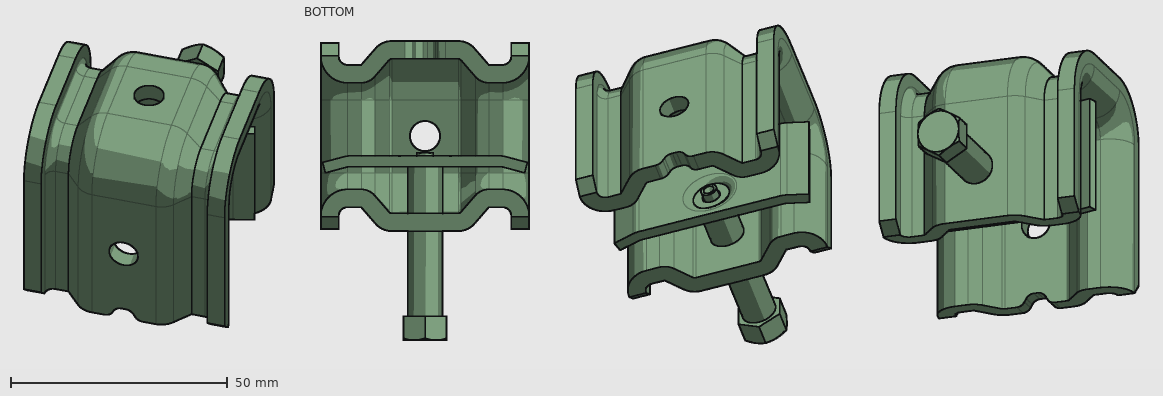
import cadquery as cq
import math

SHEET = 4.15
CLAMP_WIDTH = 48.0
CLAMP_DEPTH = 43.9
CLAMP_HEIGHT = 50.0
SHORT_LEG_FOOT = 7.05
CORNER_RADIUS = 13.5

CREST_HALF_WIDTH = 7.65
CREST_BEND_RADIUS = 5.0
SLOPE_ANGLE = 49.0
VALLEY_DEPTH = 5.5
FLANGE_BEND_RADIUS = 2.0
FLANGE_DEPTH = 0.5

FLANGE_INSIDE_X = CLAMP_WIDTH / 2 - SHEET
VALLEY_HALF_WIDTH = FLANGE_INSIDE_X - FLANGE_BEND_RADIUS

HOLE_DIAMETER = 6.9
FLANGE_FOOT_CHAMFER = 2.9
NOTCH_HEIGHT = 2.9
NOTCH_RADIUS = 2.15
NOTCH_TOP_HALF_FLAT = 0.5
NOTCH_FLANK_ANGLE = 60.0

BOLT_HEIGHT = 19.95
SHANK_DIAMETER = 8.1
HEAD_ACROSS_FLATS = 10.0
HEAD_LENGTH = 5.5
HALF_HEX_STEP = 30.0
HEAD_END = 69.0
HEAD_CHAMFER_ANGLE = 30.0
TIP_DIAMETER = 3.7
TIP_END = 25.8
TIP_BORE_DIAMETER = 2.5
TIP_BORE_HALF_ANGLE = 59.0

PLATE_SHEET = 2.5
PLATE_FRONT = 26.5
PLATE_BOTTOM = 11.95
PLATE_HEIGHT = 26.6
PLATE_FLAT_HALF_WIDTH = 17.1
PLATE_BEND_RADIUS = 6.0
PLATE_BEND_ANGLE = 15.0
WING_LENGTH = 5.1
PLATE_HOLE_DIAMETER = 4.3
DISH_MOUTH_DIAMETER = 13.05
DISH_LIP_RADIUS = 2.5
DISH_LIP_ANGLE = 60.0

PLATE_BACK = PLATE_FRONT + PLATE_SHEET
BOLT_ORIGIN = (0, 0, BOLT_HEIGHT)


def along_bend(start, radius, angle):
    """Point reached from start, heading +X, after turning towards +Y by angle (degrees)."""
    turn = math.radians(angle)
    return (start[0] + radius * math.sin(turn), start[1] + radius * (1 - math.cos(turn)))


def inward(point, angle, thickness):
    """Point across the sheet from point, where the sheet has turned by angle."""
    turn = math.radians(angle)
    return (point[0] - thickness * math.sin(turn), point[1] + thickness * math.cos(turn))


def half_sheet_section():
    """Section of the right half of the long leg: X across, Y from the crest inwards."""
    crest_end = (CREST_HALF_WIDTH, 0)
    crest_mid_bend = along_bend(crest_end, CREST_BEND_RADIUS, SLOPE_ANGLE / 2)
    slope_top = along_bend(crest_end, CREST_BEND_RADIUS, SLOPE_ANGLE)
    slope_run = (VALLEY_DEPTH - slope_top[1]) / math.tan(math.radians(SLOPE_ANGLE))
    slope_foot = (slope_top[0] + slope_run, VALLEY_DEPTH)

    flange_outside_x = CLAMP_WIDTH / 2
    flange_bend_y = VALLEY_DEPTH - FLANGE_BEND_RADIUS
    outer_bend_radius = FLANGE_BEND_RADIUS + SHEET
    under_valley = flange_bend_y + outer_bend_radius
    mid_bend = math.sqrt(0.5)

    def flange_bend_middle(radius):
        return (VALLEY_HALF_WIDTH + radius * mid_bend, flange_bend_y + radius * mid_bend)

    return (
        cq.Workplane("XY")
        .moveTo(0, 0)
        .lineTo(*crest_end)
        .threePointArc(crest_mid_bend, slope_top)
        .lineTo(*slope_foot)
        .lineTo(VALLEY_HALF_WIDTH, VALLEY_DEPTH)
        .threePointArc(flange_bend_middle(FLANGE_BEND_RADIUS), (FLANGE_INSIDE_X, flange_bend_y))
        .lineTo(FLANGE_INSIDE_X, FLANGE_DEPTH)
        .lineTo(flange_outside_x, FLANGE_DEPTH)
        .lineTo(flange_outside_x, flange_bend_y)
        .threePointArc(flange_bend_middle(outer_bend_radius), (VALLEY_HALF_WIDTH, under_valley))
        .lineTo(slope_foot[0], under_valley)
        .threePointArc(
            inward(slope_foot, SLOPE_ANGLE / 2, SHEET), inward(slope_foot, SLOPE_ANGLE, SHEET)
        )
        .lineTo(*inward(slope_top, SLOPE_ANGLE, SHEET))
        .threePointArc(
            inward(crest_mid_bend, SLOPE_ANGLE / 2, SHEET), inward(crest_end, 0, SHEET)
        )
        .lineTo(0, SHEET)
        .close()
    )


def crest_path():
    """Line of the crest from the long leg's foot, over the bridge, to the short leg's foot."""
    bend_start = CLAMP_HEIGHT - CORNER_RADIUS
    arc_inset = CORNER_RADIUS * (1 - math.sqrt(0.5))
    far_bend = CLAMP_DEPTH - CORNER_RADIUS
    return (
        cq.Workplane("YZ")
        .moveTo(0, 0)
        .lineTo(0, bend_start)
        .threePointArc((arc_inset, CLAMP_HEIGHT - arc_inset), (CORNER_RADIUS, CLAMP_HEIGHT))
        .lineTo(far_bend, CLAMP_HEIGHT)
        .threePointArc(
            (CLAMP_DEPTH - arc_inset, CLAMP_HEIGHT - arc_inset), (CLAMP_DEPTH, bend_start)
        )
        .lineTo(CLAMP_DEPTH, SHORT_LEG_FOOT)
    )


def flange_foot_cutter(edge_y, foot_z, inward_sign):
    """Triangular bar that bevels the free corner of both flanges at one foot."""
    return (
        cq.Workplane("YZ")
        .polyline([
            (edge_y, foot_z),
            (edge_y + inward_sign * FLANGE_FOOT_CHAMFER, foot_z),
            (edge_y, foot_z + FLANGE_FOOT_CHAMFER),
        ])
        .close()
        .extrude(CLAMP_WIDTH / 2, both=True)
    )


def notch_cutter():
    """Bell-shaped notch through the foot of the long leg."""
    turn = math.radians(NOTCH_FLANK_ANGLE)
    half_turn = turn / 2

    def down_bend(angle):
        return (
            NOTCH_TOP_HALF_FLAT + NOTCH_RADIUS * math.sin(angle),
            NOTCH_HEIGHT - NOTCH_RADIUS * (1 - math.cos(angle)),
        )

    flank_top = down_bend(turn)
    flank_foot_z = NOTCH_RADIUS * (1 - math.cos(turn))
    flank_foot_x = flank_top[0] + (flank_top[1] - flank_foot_z) / math.tan(turn)
    mouth_x = flank_foot_x + NOTCH_RADIUS * math.sin(turn)
    mouth_mid = (
        mouth_x - NOTCH_RADIUS * math.sin(half_turn),
        NOTCH_RADIUS * (1 - math.cos(half_turn)),
    )
    return (
        cq.Workplane("XZ")
        .moveTo(0, 0)
        .lineTo(mouth_x, 0)
        .threePointArc(mouth_mid, (flank_foot_x, flank_foot_z))
        .lineTo(*flank_top)
        .threePointArc(down_bend(half_turn), down_bend(0))
        .lineTo(0, NOTCH_HEIGHT)
        .mirrorY()
        .extrude(-CLAMP_DEPTH / 2)
    )


def make_clamp():
    half = half_sheet_section().sweep(crest_path())
    body = half.union(half.mirror("YZ")).clean()

    short_leg_edge = CLAMP_DEPTH - FLANGE_DEPTH
    middle = cq.Workplane("XY").box(2 * FLANGE_INSIDE_X, 3 * CLAMP_DEPTH, CLAMP_HEIGHT)
    for edge_y, foot_z, sign in ((FLANGE_DEPTH, 0, 1), (short_leg_edge, SHORT_LEG_FOOT, -1)):
        body = body.cut(flange_foot_cutter(edge_y, foot_z, sign).cut(middle))

    body = body.cut(notch_cutter())

    bridge_hole = (
        cq.Workplane("XY", origin=(0, CLAMP_DEPTH / 2, CLAMP_HEIGHT))
        .circle(HOLE_DIAMETER / 2)
        .extrude(-2 * SHEET)
    )
    long_leg_hole = (
        cq.Workplane("XZ", origin=BOLT_ORIGIN).circle(HOLE_DIAMETER / 2).extrude(-2 * SHEET)
    )
    bolt_hole = (
        cq.Workplane("XZ", origin=(0, CLAMP_DEPTH, BOLT_HEIGHT))
        .circle(SHANK_DIAMETER / 2)
        .extrude(2 * SHEET)
    )
    return body.cut(bridge_hole).cut(long_leg_hole).cut(bolt_hole)


def half_plate():
    bend_start = (PLATE_FLAT_HALF_WIDTH, PLATE_FRONT)
    bend_mid = along_bend(bend_start, PLATE_BEND_RADIUS, PLATE_BEND_ANGLE / 2)
    bend_end = along_bend(bend_start, PLATE_BEND_RADIUS, PLATE_BEND_ANGLE)
    turn = math.radians(PLATE_BEND_ANGLE)
    wing_tip = (
        bend_end[0] + WING_LENGTH * math.cos(turn),
        bend_end[1] + WING_LENGTH * math.sin(turn),
    )
    return (
        cq.Workplane("XY", origin=(0, 0, PLATE_BOTTOM))
        .moveTo(0, PLATE_FRONT)
        .lineTo(*bend_start)
        .threePointArc(bend_mid, bend_end)
        .lineTo(*wing_tip)
        .lineTo(*inward(wing_tip, PLATE_BEND_ANGLE, PLATE_SHEET))
        .lineTo(*inward(bend_end, PLATE_BEND_ANGLE, PLATE_SHEET))
        .threePointArc(
            inward(bend_mid, PLATE_BEND_ANGLE / 2, PLATE_SHEET),
            inward(bend_start, 0, PLATE_SHEET),
        )
        .lineTo(0, PLATE_BACK)
        .close()
        .extrude(PLATE_HEIGHT)
    )


def make_plate():
    half = half_plate()
    tip_hole = (
        cq.Workplane("XZ", origin=(0, PLATE_FRONT, BOLT_HEIGHT))
        .circle(PLATE_HOLE_DIAMETER / 2)
        .extrude(-PLATE_SHEET)
    )
    mouth = (-DISH_MOUTH_DIAMETER / 2, PLATE_FRONT)
    floor_edge = along_bend(mouth, DISH_LIP_RADIUS, DISH_LIP_ANGLE)
    dish = (
        cq.Workplane("XY", origin=BOLT_ORIGIN)
        .moveTo(0, PLATE_FRONT)
        .lineTo(*mouth)
        .threePointArc(along_bend(mouth, DISH_LIP_RADIUS, DISH_LIP_ANGLE / 2), floor_edge)
        .lineTo(0, floor_edge[1])
        .close()
        .revolve(360, (0, 0), (0, 1))
    )
    return half.union(half.mirror("YZ")).clean().cut(tip_hole).cut(dish)


def make_bolt():
    head_start = HEAD_END - HEAD_LENGTH
    flat_radius = HEAD_ACROSS_FLATS / 2
    corner_radius = flat_radius / math.cos(math.radians(HALF_HEX_STEP))
    chamfer_length = (corner_radius - flat_radius) * math.tan(math.radians(HEAD_CHAMFER_ANGLE))
    head = (
        cq.Workplane("XZ", origin=(0, head_start, BOLT_HEIGHT))
        .polygon(6, 2 * corner_radius)
        .extrude(-HEAD_LENGTH)
        .rotate(BOLT_ORIGIN, (0, 1, BOLT_HEIGHT), HALF_HEX_STEP)
    )
    head_blank = (
        cq.Workplane("XY", origin=BOLT_ORIGIN)
        .polyline([
            (0, head_start),
            (corner_radius, head_start),
            (corner_radius, HEAD_END - chamfer_length),
            (flat_radius, HEAD_END),
            (0, HEAD_END),
        ])
        .close()
        .revolve(360, (0, 0), (0, 1))
    )
    bore_radius = TIP_BORE_DIAMETER / 2
    bore_depth = bore_radius / math.tan(math.radians(TIP_BORE_HALF_ANGLE))
    tip_radius = TIP_DIAMETER / 2
    shank = (
        cq.Workplane("XY", origin=BOLT_ORIGIN)
        .polyline([
            (0, TIP_END + bore_depth),
            (bore_radius, TIP_END),
            (tip_radius, TIP_END),
            (tip_radius, PLATE_BACK),
            (SHANK_DIAMETER / 2, PLATE_BACK),
            (SHANK_DIAMETER / 2, head_start),
            (0, head_start),
        ])
        .close()
        .revolve(360, (0, 0), (0, 1))
    )
    return shank.union(head.intersect(head_blank))


clamp = make_clamp().solids()
plate = make_plate().solids()
bolt = make_bolt().solids()

result = cq.Compound.makeCompound([clamp.val(), plate.val(), bolt.val()])